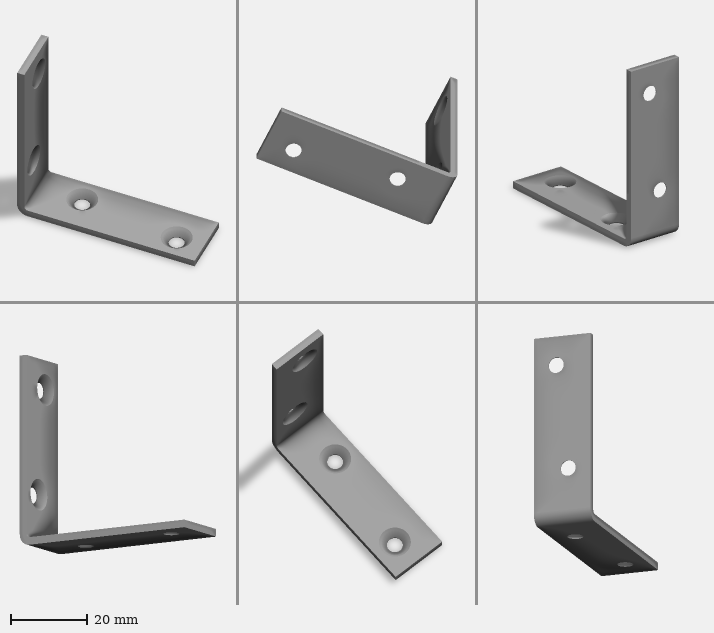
import cadquery as cq

leg_length = 50.8
width = 15.9
thickness = 2.05
inner_bend_radius = 0.95
outer_bend_radius = inner_bend_radius + thickness

hole_diameter = 4.2
sink_diameter = 8.4
sink_depth = 1.8
near_hole = 14.45
far_hole = 42.95
stagger = 1.7


def bent_strip():
    """L-shaped strip, outer faces on X = 0 and Z = 0, centred on Y = 0."""
    return (
        cq.Workplane("XZ")
        .moveTo(outer_bend_radius, 0)
        .lineTo(leg_length, 0)
        .lineTo(leg_length, thickness)
        .lineTo(outer_bend_radius, thickness)
        .radiusArc((thickness, outer_bend_radius), inner_bend_radius)
        .lineTo(thickness, leg_length)
        .lineTo(0, leg_length)
        .lineTo(0, outer_bend_radius)
        .radiusArc((outer_bend_radius, 0), -outer_bend_radius)
        .close()
        .extrude(width / 2, both=True)
    )


def countersunk_cutter(inner_point, direction):
    """Through hole and conical sink, cut from the inner face of a leg."""
    hole = cq.Solid.makeCylinder(hole_diameter / 2, thickness, inner_point, direction)
    sink = cq.Solid.makeCone(
        sink_diameter / 2, hole_diameter / 2, sink_depth, inner_point, direction
    )
    return hole.fuse(sink)


result = bent_strip()
for distance, offset in ((near_hole, stagger), (far_hole, -stagger)):
    base_point = cq.Vector(distance, offset, thickness)
    upright_point = cq.Vector(thickness, -offset, distance)
    result = result.cut(countersunk_cutter(base_point, cq.Vector(0, 0, -1)))
    result = result.cut(countersunk_cutter(upright_point, cq.Vector(-1, 0, 0)))